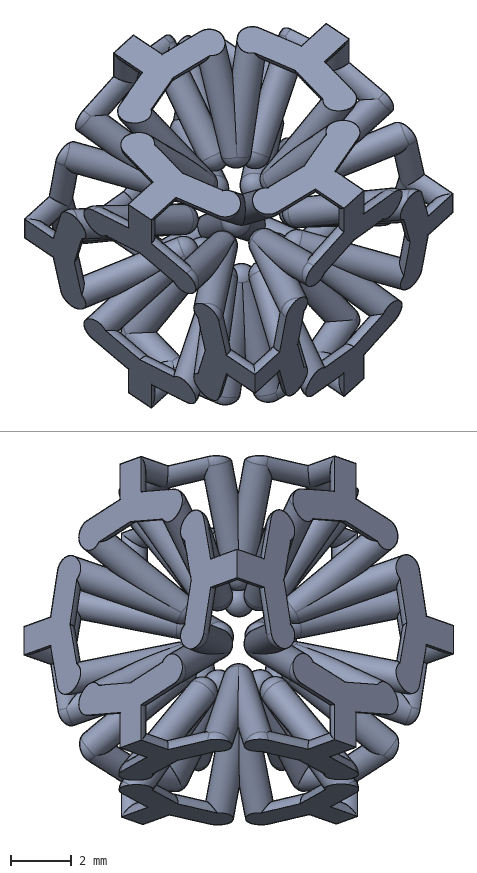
import cadquery as cq

side = 10.0
strut_radius = 0.5
half = side / 2

fork_out = 3.35
tip_out = 2.94
tip_across = 1.93

inner_offset = 0.85
inner_height = 1.82

quarter_turns = (0, 90, 180, 270)
origin = cq.Vector(0, 0, 0)
x_axis = cq.Vector(1, 0, 0)
y_axis = cq.Vector(0, 1, 0)
z_axis = cq.Vector(0, 0, 1)


def strut(start, end):
    axis = end - start
    return cq.Solid.makeCylinder(strut_radius, axis.Length, start, axis)


def joint(center):
    """A ball that rounds off the struts meeting at a point."""
    ball = cq.Solid.makeSphere(strut_radius, angleDegrees1=-90, angleDegrees2=90)
    return ball.translate(center)


def face_branch():
    """One Y on the top face, with a slanted strut down from each of its tips."""
    edge_middle = cq.Vector(0, half, half)
    fork = cq.Vector(0, fork_out, half)
    pieces = [strut(edge_middle, fork), joint(fork)]
    for sign in (-1, 1):
        tip = cq.Vector(sign * tip_across, tip_out, half)
        inner = cq.Vector(sign * inner_offset, inner_offset, inner_height)
        pieces += [strut(fork, tip), joint(tip), strut(tip, inner), joint(inner)]
    return pieces[0].fuse(*pieces[1:])


def copies_on_all_faces(branch):
    """Four copies around each of the six cube faces."""
    copies = []
    for turn in quarter_turns:
        top_copy = branch.rotate(origin, z_axis, turn)
        for tilt in quarter_turns:
            copies.append(top_copy.rotate(origin, x_axis, tilt))
        for tilt in (90, -90):
            copies.append(top_copy.rotate(origin, y_axis, tilt))
    return copies


cube = cq.Workplane("XY").box(side, side, side).val()
branches = copies_on_all_faces(cube.intersect(face_branch()))

lattice = cq.Workplane(obj=branches[0].fuse(*branches[1:])).clean()
result = lattice.solids()